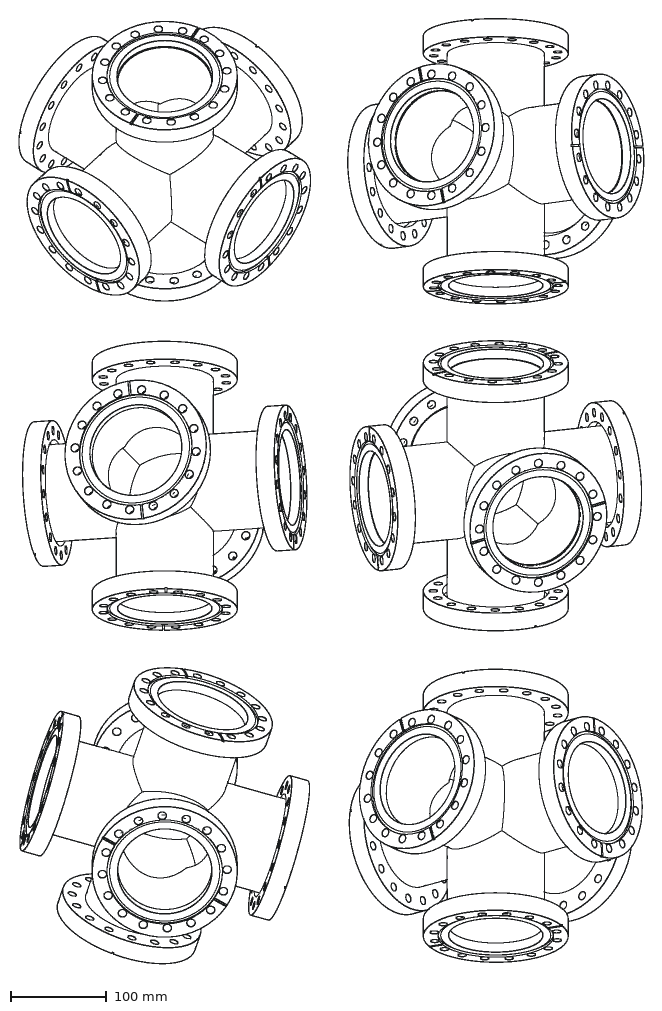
import cadquery as cq
FACE_DISTANCE = 134.9
FLANGE_THICKNESS = 19.8
FLANGE_RADIUS = 75.8
TUBE_OUTER_RADIUS = 50.8
TUBE_BORE_RADIUS = 49.1
FIXED_BORE_RADIUS = 49.8
TUBE_END_DEPTH = 11.5

RECESS_RADIUS = 60.25
RECESS_DEPTH = 2.5
KNIFE_RADIUS = 57.5
KNIFE_DEPTH = 1.2

INSERT_RADIUS = RECESS_RADIUS
INSERT_THICKNESS = TUBE_END_DEPTH
RING_BACK_RADIUS = 55.6

BOLT_COUNT = 16
BOLT_PITCH = 360 / BOLT_COUNT
BOLT_CIRCLE_RADIUS = 65.1
BOLT_HOLE_RADIUS = 4.2
GROOVE_WIDTH = 2.0
GROOVE_DEPTH = 1.5

EDGE_CHAMFER = 0.3

GROOVE_ANGLE = BOLT_PITCH / 2
SIDE_RING_TURN = BOLT_PITCH / 4
BOTTOM_RING_TURN = BOLT_PITCH * 9 / 8

BACK = FACE_DISTANCE - FLANGE_THICKNESS
TUBE_END = FACE_DISTANCE - TUBE_END_DEPTH
KNIFE_TIP = FACE_DISTANCE - KNIFE_DEPTH
RECESS_FLOOR = FACE_DISTANCE - RECESS_DEPTH
INSERT_BACK = FACE_DISTANCE - INSERT_THICKNESS


def cylinder(radius, bottom, top):
    return cq.Workplane("XY").workplane(offset=bottom).circle(radius).extrude(top - bottom)


def port_plane(outward, start):
    """Plane at the centre of the cross; its normal points out of a port."""
    return cq.Plane(origin=(0, 0, 0), xDir=start, normal=outward)


def place(body, plane):
    return body.val().moved(cq.Location(plane))


def seal_cutter():
    """Recess with a sloping floor that leaves the knife edge standing."""
    return (
        cq.Workplane("XZ")
        .moveTo(0, FACE_DISTANCE)
        .lineTo(RECESS_RADIUS, FACE_DISTANCE)
        .lineTo(RECESS_RADIUS, RECESS_FLOOR)
        .lineTo(KNIFE_RADIUS, KNIFE_TIP)
        .lineTo(0, KNIFE_TIP)
        .close()
        .revolve(360, (0, 0, 0), (0, 1, 0))
    )


def flange_blank():
    return cylinder(FLANGE_RADIUS, BACK, FACE_DISTANCE).faces("<Z or >Z").edges().chamfer(EDGE_CHAMFER)


def mouth_cutter(radius, mouth, inward):
    """Cone that chamfers the mouth of a bore; inward is the direction along Z into the bore."""
    return (
        cq.Workplane("XZ")
        .moveTo(0, mouth)
        .lineTo(radius + EDGE_CHAMFER, mouth)
        .lineTo(radius, mouth + inward * EDGE_CHAMFER)
        .lineTo(0, mouth + inward * EDGE_CHAMFER)
        .close()
        .revolve(360, (0, 0, 0), (0, 1, 0))
    )


def bolt_hole_cutter():
    """Through hole on the Z axis, chamfered at both mouths."""
    return (
        cylinder(BOLT_HOLE_RADIUS, BACK, FACE_DISTANCE)
        .union(mouth_cutter(BOLT_HOLE_RADIUS, BACK, 1))
        .union(mouth_cutter(BOLT_HOLE_RADIUS, FACE_DISTANCE, -1))
    )


def drill_bolts_and_grooves(flange, turn):
    holes = (
        cq.Workplane("XY")
        .polarArray(BOLT_CIRCLE_RADIUS, turn, 360, BOLT_COUNT)
        .eachpoint(bolt_hole_cutter().val())
    )
    grooves = (
        cq.Workplane("XY")
        .workplane(offset=FACE_DISTANCE - GROOVE_DEPTH)
        .rect(2 * FLANGE_RADIUS, GROOVE_WIDTH)
        .extrude(GROOVE_DEPTH)
        .cut(cylinder(RECESS_RADIUS, BACK, FACE_DISTANCE))
        .rotate((0, 0, 0), (0, 0, 1), turn + GROOVE_ANGLE)
    )
    return flange.cut(holes).cut(grooves)


def fixed_flange():
    flange = (
        flange_blank()
        .cut(cylinder(TUBE_OUTER_RADIUS, BACK, TUBE_END))
        .cut(cylinder(FIXED_BORE_RADIUS, TUBE_END, FACE_DISTANCE))
        .cut(seal_cutter())
        .cut(mouth_cutter(FIXED_BORE_RADIUS, KNIFE_TIP, -1))
    )
    return drill_bolts_and_grooves(flange, 0)


def flange_insert():
    return (
        cylinder(INSERT_RADIUS, INSERT_BACK, FACE_DISTANCE)
        .cut(cylinder(TUBE_BORE_RADIUS, TUBE_END, FACE_DISTANCE))
        .cut(seal_cutter())
        .cut(mouth_cutter(TUBE_BORE_RADIUS, KNIFE_TIP, -1))
    )


def flange_ring(turn):
    ring = (
        flange_blank()
        .cut(cylinder(RING_BACK_RADIUS, BACK, INSERT_BACK))
        .cut(cylinder(INSERT_RADIUS, INSERT_BACK, FACE_DISTANCE))
    )
    return drill_bolts_and_grooves(ring, turn)


def tube_cross():
    bars = [cylinder(TUBE_OUTER_RADIUS, -TUBE_END, TUBE_END)]
    bores = [cylinder(TUBE_BORE_RADIUS, -TUBE_END, TUBE_END)]
    for axis in ((1, 0, 0), (0, 1, 0)):
        bars.append(bars[0].rotate((0, 0, 0), axis, 90))
        bores.append(bores[0].rotate((0, 0, 0), axis, 90))
    cross = bars[0].union(bars[1]).union(bars[2])
    for bore in bores:
        cross = cross.cut(bore)
    return cross


fixed_ports = [
    ((0, 0, 1), (0, -1, 0)),
    ((-1, 0, 0), (0, -1, 0)),
    ((0, 1, 0), (0, 0, 1)),
]
rotatable_ports = [
    ((0, -1, 0), (0, 0, 1), SIDE_RING_TURN),
    ((1, 0, 0), (0, 0, 1), -SIDE_RING_TURN),
    ((0, 0, -1), (-1, 0, 0), -BOTTOM_RING_TURN),
]

bodies = [tube_cross().val()]
for outward, start in fixed_ports:
    bodies.append(place(fixed_flange(), port_plane(outward, start)))
for outward, start, turn in rotatable_ports:
    plane = port_plane(outward, start)
    bodies.append(place(flange_ring(turn), plane))
    bodies.append(place(flange_insert(), plane))

result = cq.Compound.makeCompound(bodies)